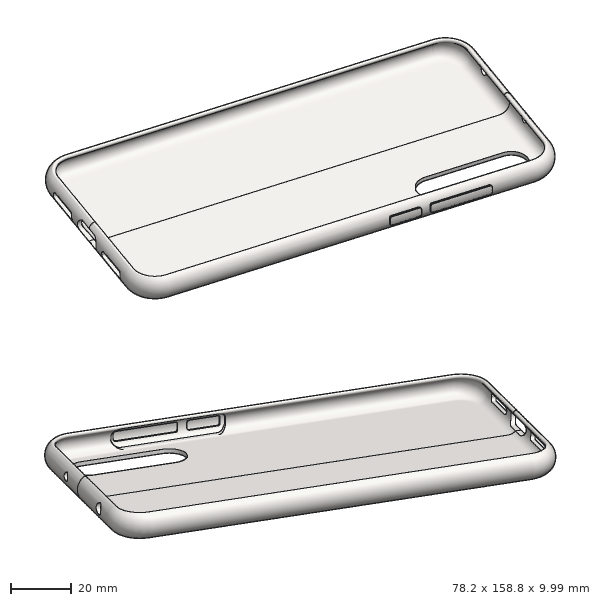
import cadquery as cq
import math

case_half_width = 38.9
case_half_length = 79.4
case_height = 9.99
corner_radius = 11.4
outer_round = 5.45
floor_thickness = 1.6
inner_round = outer_round - floor_thickness
round_center_z = outer_round
floor_half_width = case_half_width - outer_round
floor_half_length = case_half_length - outer_round
floor_corner_radius = corner_radius - outer_round

camera_width = 12.0
camera_length = 41.0
camera_x = 24.6
camera_y = 51.5

port_length = 13.6
port_height = 5.5
speaker_length = 13.4
speaker_height = 2.9
speaker_corner_radius = 1.0
speaker_x = 17.7
speaker_z = 5.25
microphone_hole_z = 6.1
left_hole_diameter = 4.0
left_hole_x = -19.0
right_hole_diameter = 3.0
right_hole_x = 10.5

pocket_wall = 0.65
button_recess = 0.35
button_proud = 0.41
pocket_floor_radius = outer_round - pocket_wall
pocket_back_radius = inner_round - 1
button_back_radius = pocket_floor_radius + button_recess
button_front_radius = outer_round + button_proud
pocket_start_y = 11.9
pocket_end_y = 52.8
pocket_height = 7.2
pocket_corner_radius = 3.3
button_height = 3.6
button_corner_radius = 0.8
volume_start_y = 28.7
volume_end_y = 51.6
power_start_y = 13.6
power_end_y = 25.3


def rim_section():
    """Section of the rim in the plane X = 0, with local x running outward from the floor edge."""
    plane = cq.Plane(origin=(0, -floor_half_length, 0), xDir=(0, -1, 0), normal=(-1, 0, 0))
    diagonal = math.sqrt(0.5)
    bead_radius = (outer_round - inner_round) / 2
    middle_round = (outer_round + inner_round) / 2
    lean = math.acos((case_height - bead_radius - round_center_z) / middle_round)

    def on_rim(radius):
        """Point at the leaning end of the wall, at a radius from the center of the rounds."""
        return (radius * math.sin(lean), round_center_z + radius * math.cos(lean))

    bead_center = on_rim(middle_round)
    bead_tip = (
        bead_center[0] - bead_radius * math.cos(lean),
        bead_center[1] + bead_radius * math.sin(lean),
    )
    return (
        cq.Workplane(plane)
        .lineTo(0, floor_thickness)
        .threePointArc((inner_round, round_center_z), on_rim(inner_round))
        .threePointArc(bead_tip, on_rim(outer_round))
        .threePointArc((outer_round * diagonal, round_center_z - outer_round * diagonal), (0, 0))
        .close()
    )


def half_floor_outline():
    """Right half of the floor's rounded rectangle, open along X = 0."""
    corner_x = floor_half_width - floor_corner_radius
    corner_y = floor_half_length - floor_corner_radius
    reach = floor_corner_radius * math.sqrt(0.5)
    return (
        cq.Workplane("XY")
        .moveTo(0, -floor_half_length)
        .lineTo(corner_x, -floor_half_length)
        .threePointArc((corner_x + reach, -corner_y - reach), (floor_half_width, -corner_y))
        .lineTo(floor_half_width, corner_y)
        .threePointArc((corner_x + reach, corner_y + reach), (corner_x, floor_half_length))
        .lineTo(0, floor_half_length)
    )


def end_wall_plane(side, x, z):
    """Plane touching the -Y (side = -1) or +Y (side = 1) end, facing away from the case."""
    origin = (x, side * case_half_length, z)
    return cq.Workplane(cq.Plane(origin=origin, xDir=(1, 0, 0), normal=(0, side, 0)))


def plain_half():
    """Right half of the shell, with the port and speaker openings that both halves share."""
    rim = rim_section().sweep(half_floor_outline())
    floor = half_floor_outline().close().extrude(floor_thickness)
    port = end_wall_plane(-1, 0, round_center_z).slot2D(port_length, port_height).extrude(-outer_round)
    speaker = (
        end_wall_plane(-1, speaker_x, speaker_z)
        .rect(speaker_length, speaker_height)
        .extrude(-outer_round)
        .edges("|Y")
        .fillet(speaker_corner_radius)
    )
    return rim.union(floor).cut(port).cut(speaker)


def microphone_hole(x, diameter):
    return end_wall_plane(1, x, microphone_hole_z).circle(diameter / 2).extrude(-outer_round)


def wall_layer(inner_radius, outer_radius, start_y, end_y, height, corner):
    """Part of the right wall between two radii of its round, with a rounded-rectangle outline."""
    length = end_y - start_y
    layer = (
        cq.Workplane("XZ", origin=(floor_half_width, end_y, round_center_z))
        .circle(outer_radius)
        .circle(inner_radius)
        .extrude(length)
    )
    outline = (
        cq.Workplane("YZ", origin=(floor_half_width, start_y + length / 2, round_center_z))
        .rect(length, height)
        .extrude(outer_radius)
        .edges("|X")
        .fillet(corner)
    )
    return layer.intersect(outline)


def button(start_y, end_y):
    return wall_layer(
        button_back_radius,
        button_front_radius,
        start_y,
        end_y,
        button_height,
        button_corner_radius,
    )


def button_hole(start_y, end_y):
    """Opening through the wall that a button fills, open to the pocket behind it."""
    return wall_layer(
        inner_round,
        button_front_radius,
        start_y,
        end_y,
        button_height,
        button_corner_radius,
    )


def make_left_half():
    return plain_half().mirror("YZ").cut(microphone_hole(left_hole_x, left_hole_diameter))


def make_right_half():
    camera_window = (
        cq.Workplane("XY")
        .center(camera_x, camera_y)
        .slot2D(camera_length, camera_width, 90)
        .extrude(floor_thickness)
    )
    pocket = wall_layer(
        pocket_back_radius,
        pocket_floor_radius,
        pocket_start_y,
        pocket_end_y,
        pocket_height,
        pocket_corner_radius,
    )
    return (
        plain_half()
        .cut(microphone_hole(right_hole_x, right_hole_diameter))
        .cut(camera_window)
        .cut(pocket)
        .cut(button_hole(volume_start_y, volume_end_y))
        .cut(button_hole(power_start_y, power_end_y))
    )


left_half = make_left_half()
right_half = make_right_half()
volume_button = button(volume_start_y, volume_end_y)
power_button = button(power_start_y, power_end_y)

result = cq.Compound.makeCompound(
    [left_half.val(), right_half.val(), volume_button.val(), power_button.val()]
)